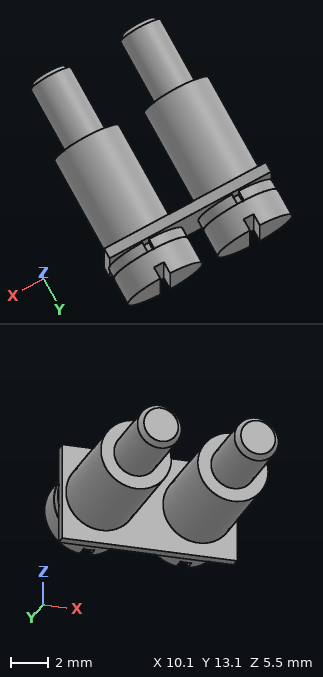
import cadquery as cq

pitch = 5.5
plate_width = 9.93
plate_height = 5.5
plate_thickness = 0.6

head_diameter = 4.6
head_length = 1.6
slot_width = 0.6
slot_depth = 0.7

washer_diameter = 4.55
washer_thickness = 0.6
washer_gap_width = 0.4

sleeve_diameter = 4.0
sleeve_length = 6.0

overall_length = 13.1
pin_diameter = 2.5
pin_chamfer = 0.28

pin_length = overall_length - sleeve_length - plate_thickness - washer_thickness - head_length
sleeve_start = pin_length
plate_start = sleeve_start + sleeve_length
washer_start = plate_start + plate_thickness
head_start = washer_start + washer_thickness


def cylinder(diameter, start, length):
    """Cylinder on the Y axis, running from start towards +Y."""
    return cq.Workplane("XZ", origin=(0, start, 0)).circle(diameter / 2).extrude(-length)


def make_plate():
    """Rectangular plate joining both screws."""
    return cq.Workplane("XY").box(plate_width, plate_thickness, plate_height).translate(
        (0, plate_start + plate_thickness / 2, 0)
    )


def make_head():
    """Cheese head with a screwdriver slot running along Z."""
    slot = cq.Workplane("XY").box(slot_width, slot_depth, head_diameter).translate(
        (0, overall_length - slot_depth / 2, 0)
    )
    return cylinder(head_diameter, head_start, head_length).cut(slot)


def make_washer():
    """Spring washer split by a gap at its +Z side."""
    radius = washer_diameter / 2
    gap = cq.Workplane("XY").box(washer_gap_width, washer_thickness, radius).translate(
        (0, washer_start + washer_thickness / 2, radius / 2)
    )
    return cylinder(washer_diameter, washer_start, washer_thickness).cut(gap)


def make_screw():
    """Chamfered pin reaching up to the head, with sleeve and washer around it."""
    pin = cylinder(pin_diameter, 0, head_start).faces("<Y").chamfer(pin_chamfer)
    sleeve = cylinder(sleeve_diameter, sleeve_start, sleeve_length + plate_thickness)
    return pin.union(sleeve).union(make_washer()).union(make_head())


result = make_plate()
screw = make_screw()
for side in (-1, 1):
    result = result.union(screw.translate((side * pitch / 2, 0, 0)))